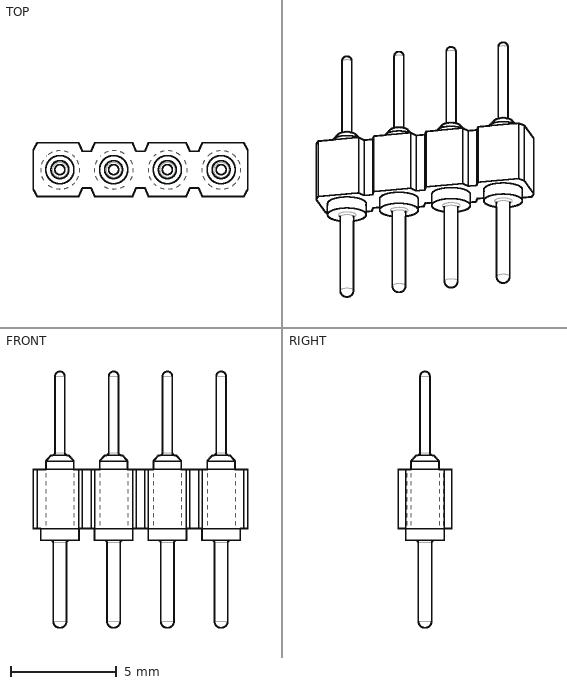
import cadquery as cq
import math

PIN_COUNT = 4
HOUSING_LENGTH = 10.16
PITCH = HOUSING_LENGTH / PIN_COUNT
TOTAL_HEIGHT = 12.12

HOUSING_WIDTH = 2.55
HOUSING_HEIGHT = 2.8
CORNER_CUT_X = 0.19
CORNER_CUT_Y = 0.36
NOTCH_MOUTH = 0.75
NOTCH_FLOOR = 0.41
NOTCH_DEPTH = 0.4

COLLAR_RADIUS = 1.33 / 2
COLLAR_PROJECTION = 0.67
COLLAR_CHAMFER_WIDTH = 0.24
COLLAR_CHAMFER_HEIGHT = 0.28
PIN_RADIUS = 0.47 / 2
PIN_LENGTH = 3.96
PIN_FILLET = 0.12

FLANGE_RADIUS = 1.83 / 2
FLANGE_HEIGHT = 0.56
TAIL_RADIUS = 0.64 / 2
TAIL_FILLET = 0.1
TAIL_LENGTH = TOTAL_HEIGHT - PIN_LENGTH - COLLAR_PROJECTION - HOUSING_HEIGHT - FLANGE_HEIGHT

DIAGONAL = math.sqrt(0.5)

pin_positions = [(i - (PIN_COUNT - 1) / 2) * PITCH for i in range(PIN_COUNT)]
notch_positions = [(i - PIN_COUNT / 2) * PITCH for i in range(1, PIN_COUNT)]


def make_housing():
    """Bar with cut corners, side notches between pins and a through bore at each pin."""
    half_length = HOUSING_LENGTH / 2
    half_width = HOUSING_WIDTH / 2
    corner_x = half_length - CORNER_CUT_X
    corner_y = half_width - CORNER_CUT_Y
    notch_y = half_width - NOTCH_DEPTH

    back_edge = [(-half_length, corner_y), (-corner_x, half_width)]
    for x in notch_positions:
        back_edge += [
            (x - NOTCH_MOUTH / 2, half_width),
            (x - NOTCH_FLOOR / 2, notch_y),
            (x + NOTCH_FLOOR / 2, notch_y),
            (x + NOTCH_MOUTH / 2, half_width),
        ]
    back_edge += [(corner_x, half_width), (half_length, corner_y)]
    front_edge = [(x, -y) for x, y in reversed(back_edge)]

    bar = cq.Workplane("XY").polyline(back_edge + front_edge).close().extrude(HOUSING_HEIGHT)
    bores = (
        cq.Workplane("XY")
        .pushPoints([(x, 0) for x in pin_positions])
        .circle(COLLAR_RADIUS)
        .extrude(HOUSING_HEIGHT)
    )
    return bar.cut(bores)


def revolve_about_z(profile):
    """Full turn of a closed XZ profile about the Z axis."""
    return profile.close().revolve(360, (0, 0, 0), (0, 1, 0))


def make_upper_terminal(x):
    """Chamfered collar and round-tipped pin, joined by a concave fillet."""
    collar_top = HOUSING_HEIGHT + COLLAR_PROJECTION
    tip = collar_top + PIN_LENGTH
    dome_base = tip - PIN_RADIUS
    fillet_mid = PIN_FILLET * (1 - DIAGONAL)
    profile = (
        cq.Workplane("XZ")
        .lineTo(COLLAR_RADIUS, 0)
        .lineTo(COLLAR_RADIUS, collar_top - COLLAR_CHAMFER_HEIGHT)
        .lineTo(COLLAR_RADIUS - COLLAR_CHAMFER_WIDTH, collar_top)
        .lineTo(PIN_RADIUS + PIN_FILLET, collar_top)
        .threePointArc(
            (PIN_RADIUS + fillet_mid, collar_top + fillet_mid),
            (PIN_RADIUS, collar_top + PIN_FILLET),
        )
        .lineTo(PIN_RADIUS, dome_base)
        .threePointArc((PIN_RADIUS * DIAGONAL, dome_base + PIN_RADIUS * DIAGONAL), (0, tip))
    )
    return revolve_about_z(profile).translate((x, 0, 0))


def make_lower_terminal(x):
    """Flange and round-tipped tail, joined by a concave fillet."""
    flange_bottom = -FLANGE_HEIGHT
    tip = flange_bottom - TAIL_LENGTH
    dome_base = tip + TAIL_RADIUS
    fillet_mid = TAIL_FILLET * (1 - DIAGONAL)
    profile = (
        cq.Workplane("XZ")
        .lineTo(FLANGE_RADIUS, 0)
        .lineTo(FLANGE_RADIUS, flange_bottom)
        .lineTo(TAIL_RADIUS + TAIL_FILLET, flange_bottom)
        .threePointArc(
            (TAIL_RADIUS + fillet_mid, flange_bottom - fillet_mid),
            (TAIL_RADIUS, flange_bottom - TAIL_FILLET),
        )
        .lineTo(TAIL_RADIUS, dome_base)
        .threePointArc((TAIL_RADIUS * DIAGONAL, dome_base - TAIL_RADIUS * DIAGONAL), (0, tip))
    )
    return revolve_about_z(profile).translate((x, 0, 0))


housing = make_housing()
upper_terminals = [make_upper_terminal(x) for x in pin_positions]
lower_terminals = [make_lower_terminal(x) for x in pin_positions]

result = cq.Compound.makeCompound(
    [housing.val()]
    + [terminal.val() for terminal in upper_terminals]
    + [terminal.val() for terminal in lower_terminals]
)